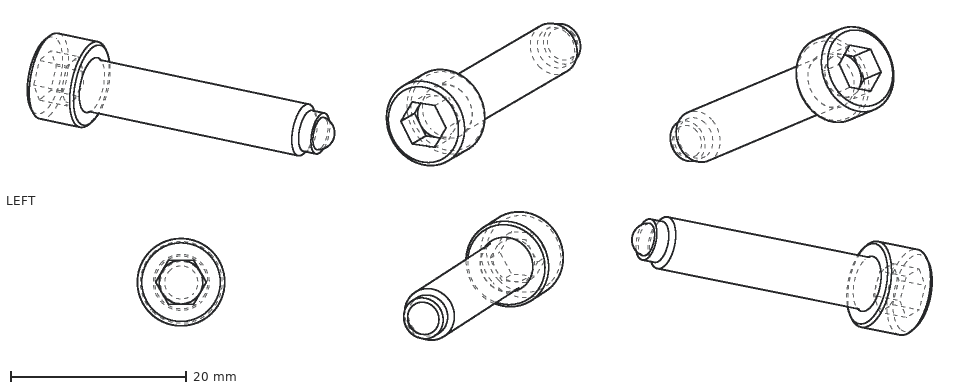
import cadquery as cq
import math

total_length = 36.8
head_length = 6.0
shank_end = 33.6
pin_end = 35.18

head_radius = 5.0
shank_radius = 3.0
pin_radius = 2.4
ball_radius = 1.9

head_chamfer = 0.5
head_rear_chamfer = 0.33
neck_length = 0.45
neck_height = 0.2
shank_chamfer_length = 0.55

socket_across_flats = 5.0
socket_depth = 3.5
drill_tip_angle = 120.0


def make_body():
    """Revolve the half outline of the head, shank, pin and ball about X."""
    ball_center = total_length - ball_radius
    ball_offset = pin_end - ball_center
    ball_base_radius = math.sqrt(ball_radius**2 - ball_offset**2)
    ball_mid = ball_radius * math.sqrt(0.5)
    neck_arc_radius = (neck_length**2 + neck_height**2) / (2 * neck_height)
    profile = (
        cq.Workplane("XY")
        .lineTo(0, head_radius - head_chamfer)
        .lineTo(head_chamfer, head_radius)
        .lineTo(head_length - head_rear_chamfer, head_radius)
        .lineTo(head_length, head_radius - head_rear_chamfer)
        .lineTo(head_length, shank_radius + neck_height)
        .radiusArc((head_length + neck_length, shank_radius), -neck_arc_radius)
        .lineTo(shank_end - shank_chamfer_length, shank_radius)
        .lineTo(shank_end, pin_radius)
        .lineTo(pin_end, pin_radius)
        .lineTo(pin_end, ball_base_radius)
        .threePointArc((ball_center + ball_mid, ball_mid), (total_length, 0))
        .close()
    )
    return profile.revolve(360, (0, 0, 0), (1, 0, 0))


def make_socket():
    """Hexagon with flats facing up and down, ending in a conical drill tip."""
    across_corners = socket_across_flats / math.cos(math.radians(30))
    hexagon = cq.Workplane("YZ").polygon(6, across_corners).extrude(socket_depth)
    tip_radius = socket_across_flats / 2
    tip_depth = tip_radius / math.tan(math.radians(drill_tip_angle / 2))
    tip = (
        cq.Workplane("XY")
        .moveTo(socket_depth, 0)
        .lineTo(socket_depth, tip_radius)
        .lineTo(socket_depth + tip_depth, 0)
        .close()
        .revolve(360, (0, 0, 0), (1, 0, 0))
    )
    return hexagon.union(tip)


result = make_body().cut(make_socket())